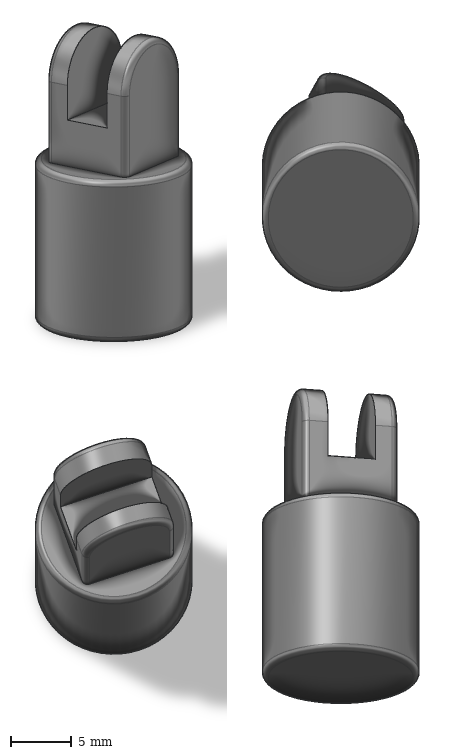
import cadquery as cq

body_diameter = 13.0
body_height = 14.0
edge_radius = 0.5

total_height = 25.0
clevis_width = 8.0
clevis_round_radius = clevis_width / 2
clevis_round_center_z = total_height - clevis_round_radius

slot_width = 4.0
slot_center_x = 0.1
slot_floor_z = 18.0


def make_body():
    """Round body with filleted top and bottom rims."""
    body = cq.Workplane("XY").circle(body_diameter / 2).extrude(body_height)
    return body.edges().fillet(edge_radius)


def make_clevis():
    """Round-topped block whose two outer side faces have filleted borders."""
    half_width = clevis_width / 2
    block = (
        cq.Workplane("YZ")
        .workplane(offset=-half_width)
        .moveTo(-half_width, body_height)
        .lineTo(-half_width, clevis_round_center_z)
        .threePointArc((0, total_height), (half_width, clevis_round_center_z))
        .lineTo(half_width, body_height)
        .close()
        .extrude(clevis_width)
    )
    return block.faces("<X or >X").edges("not <Z").fillet(edge_radius)


def make_slot():
    """Cutter that runs through the clevis along Y and is open at the top."""
    return (
        cq.Workplane("XY")
        .workplane(offset=slot_floor_z)
        .center(slot_center_x, 0)
        .rect(slot_width, clevis_width)
        .extrude(total_height - slot_floor_z)
    )


result = make_body().union(make_clevis()).cut(make_slot())